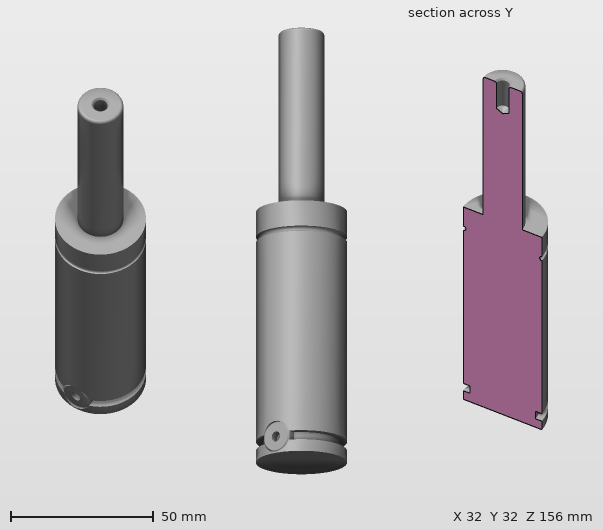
import cadquery as cq

total_height = 156.0
body_diameter = 32.0
body_height = 91.0
rod_diameter = 16.0
rod_edge_radius = 1.1

ring_groove_height = 80.8
ring_groove_radius = 1.0

base_groove_bottom = 4.2
base_groove_top = 7.5
base_groove_diameter = 26.8

rod_hole_diameter = 5.0
rod_hole_mouth_diameter = 6.2
rod_hole_depth = 12.5
drill_tip_depth = 1.4

plug_height = 6.1
plug_diameter = 11.0
plug_face_diameter = 10.0
plug_recess = 0.5
plug_length = 6.2
plug_hole_diameter = 3.6
plug_hole_depth = 3.1

body_radius = body_diameter / 2
plug_face_offset = body_radius - plug_recess
plug_chamfer = (plug_diameter - plug_face_diameter) / 2


def cylinder(diameter, bottom, top):
    """Vertical cylinder on the main axis between two heights."""
    return cq.Workplane("XY", origin=(0, 0, bottom)).circle(diameter / 2).extrude(top - bottom)


def side_cylinder(diameter, face_offset, length):
    """Cylinder along the plug axis, running inward from its outer face."""
    face = cq.Workplane("XZ", origin=(0, -face_offset, plug_height))
    return face.circle(diameter / 2).extrude(-length)


def make_body():
    body = cylinder(body_diameter, 0, body_height)
    ring = cq.Workplane("XY").add(
        cq.Solid.makeTorus(body_radius, ring_groove_radius, cq.Vector(0, 0, ring_groove_height))
    )
    base_groove = cylinder(body_diameter, base_groove_bottom, base_groove_top).cut(
        cylinder(base_groove_diameter, base_groove_bottom, base_groove_top)
    )
    return body.cut(ring).cut(base_groove)


def make_rod():
    rod = cylinder(rod_diameter, body_height, total_height)
    return rod.faces(">Z").edges().fillet(rod_edge_radius)


def make_rod_hole():
    """Revolved drilled hole with a 45 degree mouth and a conical tip."""
    hole_radius = rod_hole_diameter / 2
    mouth_radius = rod_hole_mouth_diameter / 2
    hole_bottom = total_height - rod_hole_depth
    profile = (
        cq.Workplane("XZ")
        .moveTo(0, total_height)
        .lineTo(mouth_radius, total_height)
        .lineTo(hole_radius, total_height - (mouth_radius - hole_radius))
        .lineTo(hole_radius, hole_bottom)
        .lineTo(0, hole_bottom - drill_tip_depth)
        .close()
    )
    return profile.revolve(360, (0, 0, 0), (0, 1, 0))


def make_plug():
    plug = side_cylinder(plug_diameter, plug_face_offset, plug_length)
    plug = plug.faces("<Y").edges().chamfer(plug_chamfer)
    return plug.cut(side_cylinder(plug_hole_diameter, plug_face_offset, plug_hole_depth))


plug_seat = side_cylinder(plug_diameter, body_radius, plug_length)
body = make_body().cut(plug_seat).union(make_plug())
result = body.union(make_rod()).cut(make_rod_hole())